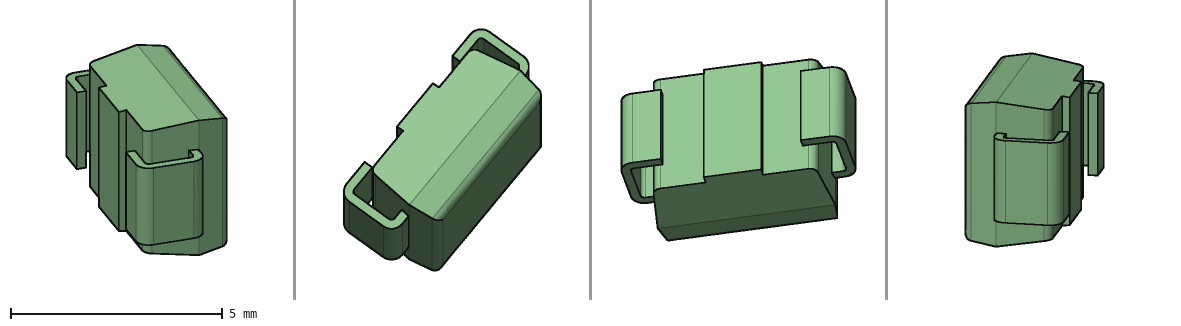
import cadquery as cq
import math


housing_length = 4.31
housing_height = 3.56
back_depth = 0.795
front_depth = 1.3
draft_angle = 8.0
edge_radius = 0.2
pad_width = 1.39
pad_depth = 1.485

overall_length = 5.44
lead_back = -0.01
lead_front = -1.675
lead_thickness = 0.23
lead_width = 2.025
inner_bend_radius = 0.1
outer_bend_radius = inner_bend_radius + lead_thickness
foot_tip = 1.7


def drafted_block(depth, direction):
    """Block narrowing away from the parting plane; direction is +1 for +Y, -1 for -Y."""
    inset = depth * math.tan(math.radians(draft_angle))
    return (
        cq.Workplane("XZ")
        .rect(housing_length, housing_height)
        .workplane(offset=-direction * depth)
        .rect(housing_length - 2 * inset, housing_height - 2 * inset)
        .loft(ruled=True)
    )


def make_housing():
    """Two drafted halves with a raised strip across the front face."""
    back = drafted_block(back_depth, 1).faces(">Y").edges().fillet(edge_radius)
    front = drafted_block(front_depth, -1).faces("<Y").edges("|Z").fillet(edge_radius)
    strip_slab = cq.Workplane("XY").box(pad_width, 2 * pad_depth, housing_height)
    strip = drafted_block(pad_depth, -1).intersect(strip_slab)
    return back.union(front).union(strip)


def make_lead(side, housing):
    """C-shaped strip on the +X (side = 1) or -X (side = -1) end, ending at the housing wall."""
    outer_length = overall_length / 2 - foot_tip
    outer_depth = lead_back - lead_front
    center_x = overall_length / 2 - outer_length / 2
    center_y = (lead_back + lead_front) / 2

    outer = (
        cq.Workplane("XY")
        .box(outer_length, outer_depth, lead_width)
        .edges("|Z and >X")
        .fillet(outer_bend_radius)
    )
    opening = (
        cq.Workplane("XY")
        .box(outer_length, outer_depth - 2 * lead_thickness, lead_width)
        .edges("|Z and >X")
        .fillet(inner_bend_radius)
        .translate((-lead_thickness, 0, 0))
    )
    lead = outer.cut(opening).translate((center_x, center_y, 0))
    if side < 0:
        lead = lead.mirror("YZ")
    return lead.cut(housing)


housing = make_housing()
leads = [make_lead(side, housing) for side in (-1, 1)]

result = cq.Compound.makeCompound([housing.solids().val(), *[lead.solids().val() for lead in leads]])